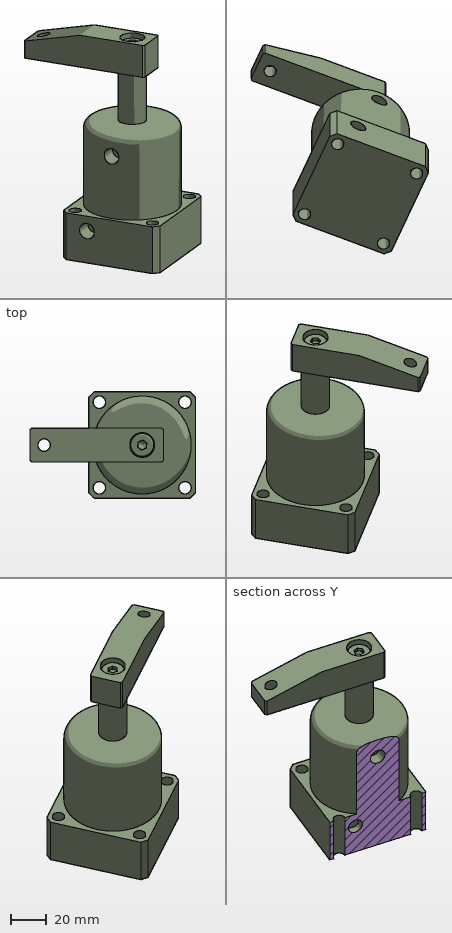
import cadquery as cq
import math

base_height = 28.0
barrel_top = 78.0
arm_bottom = 108.0
total_height = 127.0

base_side = 60.0
base_corner_chamfer = 3.2
barrel_diameter = 55.0
barrel_edge_radius = 5.0
mount_hole_diameter = 6.9
mount_hole_spacing = 48.0

port_mouth_diameter = 9.1
port_floor_diameter = 8.1
port_depth = 10.0
barrel_port_x = 0.0
barrel_port_z = 65.0
base_port_x = -14.0
base_port_z = 19.0

rod_diameter = 16.0

arm_length = 74.9
arm_width = 19.0
arm_overhang = 12.0
arm_tip_height = 10.0
arm_slope_length = 35.0
arm_corner_chamfer = 1.0
tip_hole_diameter = 6.9
tip_hole_inset = 8.0

counterbore_diameter = 14.0
counterbore_depth = 6.4
screw_head_diameter = 13.0
screw_head_height = 3.8
screw_head_fillet = 1.0
screw_shank_diameter = 8.0
screw_rod_engagement = 12.0
socket_sides = 6
socket_width = 5.0
socket_depth = 2.0
socket_cone_height = 1.3
socket_turn = 22.5

arm_right = arm_overhang
arm_left = arm_right - arm_length
screw_seat = total_height - counterbore_depth
screw_bottom = arm_bottom - screw_rod_engagement
base_front = -base_side / 2
barrel_front = -barrel_diameter / 2


def cylinder(diameter, bottom, top, x=0.0):
    """Upright cylinder between two heights."""
    base = cq.Workplane("XY", origin=(x, 0, bottom))
    return base.circle(diameter / 2).extrude(top - bottom)


def port(x, z, front):
    """Blind hole that narrows as it runs in +Y from the plane Y = front."""
    taper = cq.Solid.makeCone(
        port_mouth_diameter / 2, port_floor_diameter / 2, port_depth, pnt=(x, front, z), dir=(0, 1, 0)
    )
    return cq.Workplane(taper)


def make_housing():
    base = (
        cq.Workplane("XY")
        .rect(base_side, base_side)
        .extrude(base_height)
        .edges("|Z")
        .chamfer(base_corner_chamfer)
    )
    mount_holes = (
        cq.Workplane("XY")
        .rect(mount_hole_spacing, mount_hole_spacing, forConstruction=True)
        .vertices()
        .circle(mount_hole_diameter / 2)
        .extrude(base_height)
    )
    barrel = cylinder(barrel_diameter, base_height, barrel_top).faces(">Z").edges().fillet(barrel_edge_radius)
    return (
        base.cut(mount_holes)
        .union(barrel)
        .cut(port(barrel_port_x, barrel_port_z, barrel_front))
        .cut(port(base_port_x, base_port_z, base_front))
    )


def make_rod():
    rod = cylinder(rod_diameter, barrel_top, arm_bottom)
    return rod.cut(cylinder(screw_shank_diameter, screw_bottom, arm_bottom))


def make_arm():
    profile = [
        (arm_left, arm_bottom),
        (arm_right, arm_bottom),
        (arm_right, total_height),
        (arm_left + arm_slope_length, total_height),
        (arm_left, arm_bottom + arm_tip_height),
    ]
    return (
        cq.Workplane("XZ")
        .polyline(profile)
        .close()
        .extrude(arm_width / 2, both=True)
        .edges("|Z")
        .chamfer(arm_corner_chamfer)
        .cut(cylinder(tip_hole_diameter, arm_bottom, total_height, arm_left + tip_hole_inset))
        .cut(cylinder(screw_shank_diameter, arm_bottom, total_height))
        .cut(cylinder(counterbore_diameter, screw_seat, total_height))
    )


def make_screw():
    head_top = screw_seat + screw_head_height
    head = cylinder(screw_head_diameter, screw_seat, head_top).faces(">Z").edges().fillet(screw_head_fillet)
    socket_floor = head_top - socket_depth
    socket = (
        cq.Workplane("XY")
        .workplane(offset=socket_floor)
        .polygon(socket_sides, socket_width / math.cos(math.pi / socket_sides))
        .extrude(socket_depth)
        .rotate((0, 0, 0), (0, 0, 1), socket_turn)
    )
    cone = cq.Workplane(
        cq.Solid.makeCone(socket_width / 2, 0, socket_cone_height, pnt=(0, 0, socket_floor), dir=(0, 0, -1))
    )
    shank = cylinder(screw_shank_diameter, screw_bottom, screw_seat)
    return head.union(shank).cut(socket).cut(cone)


housing = make_housing()
rod = make_rod()
arm = make_arm()
screw = make_screw()

result = cq.Compound.makeCompound([housing.val(), rod.val(), arm.val(), screw.val()])